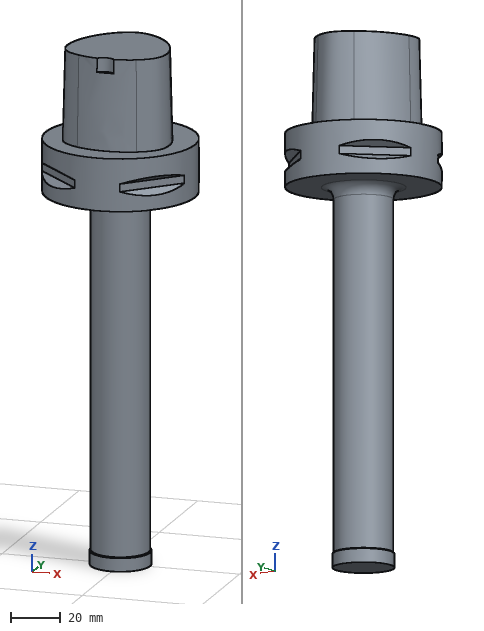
import cadquery as cq
import math

TOTAL_LENGTH = 215.0
TAPER_HEIGHT = 38.0
FLANGE_DIAMETER = 63.0
FLANGE_HEIGHT = 22.0
BAR_DIAMETER = 24.0
NECK_FILLET = 5.0

BASE_DIAMETER = 44.0
LOBE_ECCENTRICITY = 1.42
SIDE_SLOPE = 1 / 40
LOBE_COUNT = 3
TOP_LOBE_ANGLE = 90.0
FLAT_HALF_ANGLE = 24.0
POINTS_PER_CURVE = 9

NOTCH_RADIUS = 4.5
NOTCH_DEPTH = 5.8
NOTCH_INNER_REACH = 17.8

GROOVE_COUNT = 4
GROOVE_FIRST_ANGLE = 45.0
GROOVE_FLOOR_DISTANCE = 28.0
GROOVE_FLOOR_WIDTH = 3.2
GROOVE_MOUTH_WIDTH = 7.7
GROOVE_CENTER_Z = 9.9 - FLANGE_HEIGHT

HEAD_DIAMETER = 25.0
HEAD_HEIGHT = 6.0
HEAD_CHAMFER = (HEAD_DIAMETER - BAR_DIAMETER) / 2

BASE_RADIUS = BASE_DIAMETER / 2
FLANGE_RADIUS = FLANGE_DIAMETER / 2
BAR_RADIUS = BAR_DIAMETER / 2
BOTTOM_Z = TAPER_HEIGHT - TOTAL_LENGTH
HEAD_TOP_Z = BOTTOM_Z + HEAD_HEIGHT


def lobed_point(mean_radius, angle, z):
    """Point of the constant-width lobed outline whose normal has this angle in degrees."""
    normal = math.radians(angle)
    phase = LOBE_COUNT * math.radians(angle - TOP_LOBE_ANGLE)
    support = mean_radius + LOBE_ECCENTRICITY * math.cos(phase)
    slope = -LOBE_COUNT * LOBE_ECCENTRICITY * math.sin(phase)
    x = support * math.cos(normal) - slope * math.sin(normal)
    y = support * math.sin(normal) + slope * math.cos(normal)
    return cq.Vector(x, y, z)


def lobed_curve(mean_radius, start, end, z):
    """Smooth stretch of the lobed outline between two normal angles."""
    step = (end - start) / (POINTS_PER_CURVE - 1)
    points = [lobed_point(mean_radius, start + i * step, z) for i in range(POINTS_PER_CURVE)]
    tangents = [cq.Vector(-math.sin(math.radians(a)), math.cos(math.radians(a)), 0) for a in (start, end)]
    return cq.Edge.makeSpline(points, tangents=tangents)


def lobed_wire(mean_radius, z):
    """Closed outline: each flatter side is followed by a rounded lobe."""
    pitch = 360 / LOBE_COUNT
    edges = []
    for i in range(LOBE_COUNT):
        flat_middle = TOP_LOBE_ANGLE + 180 + i * pitch
        flat_start = flat_middle - FLAT_HALF_ANGLE
        flat_end = flat_middle + FLAT_HALF_ANGLE
        edges.append(lobed_curve(mean_radius, flat_start, flat_end, z))
        edges.append(lobed_curve(mean_radius, flat_end, flat_start + pitch, z))
    return cq.Wire.assembleEdges(edges)


def make_taper():
    """Solid lobed shank with the key notch in its -Y rim."""
    top_radius = BASE_RADIUS - TAPER_HEIGHT * SIDE_SLOPE
    wires = [lobed_wire(BASE_RADIUS, 0), lobed_wire(top_radius, TAPER_HEIGHT)]
    shank = cq.Workplane(cq.Solid.makeLoft(wires, True))
    notch = (
        cq.Workplane("XY", origin=(0, -NOTCH_INNER_REACH - NOTCH_RADIUS, TAPER_HEIGHT - NOTCH_DEPTH))
        .circle(NOTCH_RADIUS)
        .extrude(NOTCH_DEPTH)
    )
    return shank.cut(notch)


def make_flange_and_bar():
    """Revolved flange and long bar, joined by a concave fillet."""
    fillet_center_x = BAR_RADIUS + NECK_FILLET
    fillet_center_z = -FLANGE_HEIGHT - NECK_FILLET
    fillet_offset = NECK_FILLET * math.sqrt(0.5)
    fillet_middle = (fillet_center_x - fillet_offset, fillet_center_z + fillet_offset)
    return (
        cq.Workplane("XZ")
        .moveTo(0, 0)
        .lineTo(FLANGE_RADIUS, 0)
        .lineTo(FLANGE_RADIUS, -FLANGE_HEIGHT)
        .lineTo(fillet_center_x, -FLANGE_HEIGHT)
        .threePointArc(fillet_middle, (BAR_RADIUS, fillet_center_z))
        .lineTo(BAR_RADIUS, HEAD_TOP_Z)
        .lineTo(0, HEAD_TOP_Z)
        .close()
        .revolve(360, (0, 0), (0, 1))
    )


def make_groove(angle):
    """Straight trapezoidal groove cutter across the flange rim."""
    floor_half = GROOVE_FLOOR_WIDTH / 2
    mouth_half = GROOVE_MOUTH_WIDTH / 2
    return (
        cq.Workplane("XZ", origin=(0, 0, GROOVE_CENTER_Z))
        .moveTo(GROOVE_FLOOR_DISTANCE, -floor_half)
        .lineTo(FLANGE_RADIUS, -mouth_half)
        .lineTo(FLANGE_RADIUS, mouth_half)
        .lineTo(GROOVE_FLOOR_DISTANCE, floor_half)
        .close()
        .extrude(FLANGE_RADIUS, both=True)
        .rotate((0, 0, 0), (0, 0, 1), angle)
    )


def make_holder():
    """Tool holder: taper, grooved flange and bar in one piece."""
    body = make_flange_and_bar().union(make_taper())
    for i in range(GROOVE_COUNT):
        body = body.cut(make_groove(GROOVE_FIRST_ANGLE + i * 360 / GROOVE_COUNT))
    return body


def make_head():
    """Short head seated on the end of the bar, with its upper rim chamfered."""
    return (
        cq.Workplane("XY", origin=(0, 0, BOTTOM_Z))
        .circle(HEAD_DIAMETER / 2)
        .extrude(HEAD_HEIGHT)
        .faces(">Z")
        .edges()
        .chamfer(HEAD_CHAMFER)
    )


holder = make_holder()
head = make_head()
result = cq.Compound.makeCompound([holder.solids().val(), head.solids().val()])